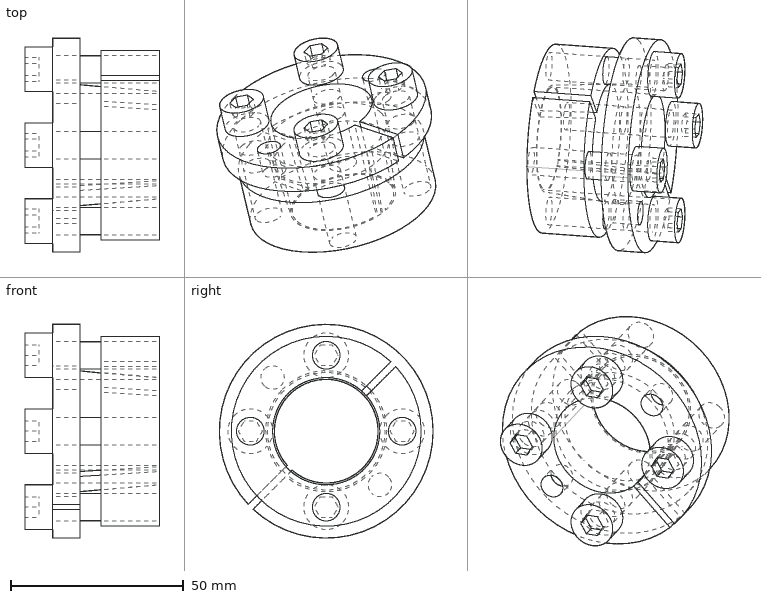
import cadquery as cq
import math

BORE_DIAMETER = 30.0
FLANGE_DIAMETER = 62.0
FLANGE_THICKNESS = 8.0
RING_DIAMETER = 55.0
RING_LENGTH = 17.0
GAP = 6.0
CONE_ROOT_RADIUS = 17.55
CONE_HALF_ANGLE = 5.0
SLIT_WIDTH = 2.0
SLEEVE_SLIT_ANGLE = 225.0
RING_SLIT_ANGLE = SLEEVE_SLIT_ANGLE - 180.0

BOLT_CIRCLE_RADIUS = 22.0
SCREW_COUNT = 4
SCREW_DIAMETER = 8.0
HEAD_DIAMETER = 13.0
HEAD_HEIGHT = 8.0
SOCKET_SIDES = 6
SOCKET_ACROSS_FLATS = 6.0
SOCKET_DEPTH = 4.0
JACKING_HOLE_DIAMETER = 6.8
JACKING_HOLE_ANGLES = (135.0, 315.0)

RING_START = FLANGE_THICKNESS + GAP
CLAMP_END = RING_START + RING_LENGTH
SCREW_ANGLES = [i * 360.0 / SCREW_COUNT for i in range(SCREW_COUNT)]


def cylinder(diameter, x_start, x_end):
    """Solid cylinder along X."""
    return cq.Workplane("YZ", origin=(x_start, 0, 0)).circle(diameter / 2).extrude(x_end - x_start)


def on_bolt_circle(shape, angle):
    """Move a shape from the clamp axis to the bolt circle without turning it."""
    y = BOLT_CIRCLE_RADIUS * math.cos(math.radians(angle))
    z = BOLT_CIRCLE_RADIUS * math.sin(math.radians(angle))
    return shape.translate((0, y, z))


def cone_radius(x):
    return CONE_ROOT_RADIUS - (x - FLANGE_THICKNESS) * math.tan(math.radians(CONE_HALF_ANGLE))


def cone(x_start, x_end):
    """Solid stretch of the clamping cone, narrowing toward +X."""
    return (
        cq.Workplane("YZ", origin=(x_start, 0, 0))
        .circle(cone_radius(x_start))
        .workplane(offset=x_end - x_start)
        .circle(cone_radius(x_end))
        .loft(ruled=True)
    )


def slit(angle):
    """Radial slot cutter from the axis outward, over the full clamp length."""
    return (
        cq.Workplane("XY")
        .box(CLAMP_END, FLANGE_DIAMETER, SLIT_WIDTH, centered=(False, False, True))
        .rotate((0, 0, 0), (1, 0, 0), angle)
    )


def make_sleeve():
    """Flanged inner sleeve with a conical seat, slit on one side."""
    body = cylinder(FLANGE_DIAMETER, 0, FLANGE_THICKNESS).union(cone(FLANGE_THICKNESS, CLAMP_END))
    body = body.cut(cylinder(BORE_DIAMETER, 0, CLAMP_END)).cut(slit(SLEEVE_SLIT_ANGLE))
    for angle in SCREW_ANGLES:
        body = body.cut(on_bolt_circle(cylinder(SCREW_DIAMETER, 0, FLANGE_THICKNESS), angle))
    for angle in JACKING_HOLE_ANGLES:
        body = body.cut(on_bolt_circle(cylinder(JACKING_HOLE_DIAMETER, 0, FLANGE_THICKNESS), angle))
    return body


def make_outer_ring():
    """Outer ring with a tapered bore that fits the cone, slit opposite the sleeve slit."""
    body = cylinder(RING_DIAMETER, RING_START, CLAMP_END).cut(cone(RING_START, CLAMP_END))
    body = body.cut(slit(RING_SLIT_ANGLE))
    for angle in SCREW_ANGLES:
        body = body.cut(on_bolt_circle(cylinder(SCREW_DIAMETER, RING_START, CLAMP_END), angle))
    return body


def make_screw(angle):
    """Socket head cap screw with its head seated on the flange."""
    socket_across_corners = SOCKET_ACROSS_FLATS / math.cos(math.pi / SOCKET_SIDES)
    socket = (
        cq.Workplane("YZ", origin=(-HEAD_HEIGHT, 0, 0))
        .polygon(SOCKET_SIDES, socket_across_corners)
        .extrude(SOCKET_DEPTH)
    )
    head = cylinder(HEAD_DIAMETER, -HEAD_HEIGHT, 0).cut(socket)
    screw = head.union(cylinder(SCREW_DIAMETER, 0, CLAMP_END))
    return on_bolt_circle(screw, angle)


sleeve = make_sleeve()
outer_ring = make_outer_ring()
screws = [make_screw(angle) for angle in SCREW_ANGLES]

result = cq.Compound.makeCompound(
    [sleeve.val(), outer_ring.val(), *[screw.val() for screw in screws]]
)